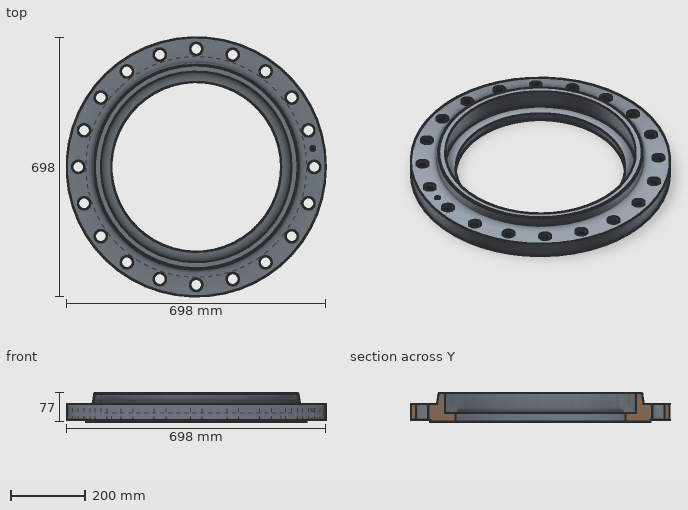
import cadquery as cq

flange_diameter = 698.0
flange_thickness = 43.0

face_diameter = 595.0
face_height = 5.0

hub_base_diameter = 558.5
hub_top_diameter = 550.0
hub_height = 29.0
hub_edge_height = 2.0
hub_edge_width = 2.0
hub_root_fillet = 1.5

bore_diameter = 457.0
socket_diameter = 513.0
socket_depth = 54.0

bolt_count = 20
bolt_circle_diameter = 635.5
bolt_hole_diameter = 32.0

small_hole_diameter = 12.5
small_hole_depth = 14.0
small_hole_core_diameter = 7.0
small_hole_core_depth = 21.0
small_hole_angle = 360 / bolt_count / 2

flange_bottom = face_height
flange_top = flange_bottom + flange_thickness
hub_top = flange_top + hub_height
socket_floor = hub_top - socket_depth


def make_body():
    """Revolve the ring section: gasket face, plate, hub and stepped bore."""
    bore_radius = bore_diameter / 2
    face_radius = face_diameter / 2
    flange_radius = flange_diameter / 2
    hub_top_radius = hub_top_diameter / 2
    socket_radius = socket_diameter / 2
    section = [
        (bore_radius, 0),
        (face_radius, 0),
        (face_radius, flange_bottom),
        (flange_radius, flange_bottom),
        (flange_radius, flange_top),
        (hub_base_diameter / 2, flange_top),
        (hub_top_radius, hub_top - hub_edge_height),
        (hub_top_radius - hub_edge_width, hub_top),
        (socket_radius, hub_top),
        (socket_radius, socket_floor),
        (bore_radius, socket_floor),
    ]
    return cq.Workplane("XZ").polyline(section).close().revolve(360, (0, 0), (0, 1))


def fillet_hub_root(body):
    """Round the inner corner where the hub meets the top of the plate."""
    reach = hub_base_diameter / 2 + hub_root_fillet
    root_edge = cq.selectors.BoxSelector(
        (-reach, -reach, flange_top - hub_root_fillet),
        (reach, reach, flange_top + hub_root_fillet),
        boundingbox=True,
    )
    return body.edges(root_edge).fillet(hub_root_fillet)


def make_bolt_holes():
    """Cylinders that cut the bolt holes right through the plate."""
    return (
        cq.Workplane("XY")
        .workplane(offset=flange_bottom)
        .polarArray(bolt_circle_diameter / 2, 0, 360, bolt_count)
        .circle(bolt_hole_diameter / 2)
        .extrude(flange_thickness)
    )


def make_small_hole():
    """Stepped cylinder that cuts the small blind hole into the top of the plate."""
    mouth = cq.Workplane("XY").circle(small_hole_diameter / 2).extrude(-small_hole_depth)
    core = cq.Workplane("XY").circle(small_hole_core_diameter / 2).extrude(-small_hole_core_depth)
    on_bolt_circle = mouth.union(core).translate((bolt_circle_diameter / 2, 0, flange_top))
    return on_bolt_circle.rotate((0, 0, 0), (0, 0, 1), small_hole_angle)


ring = fillet_hub_root(make_body())
result = ring.cut(make_bolt_holes()).cut(make_small_hole())